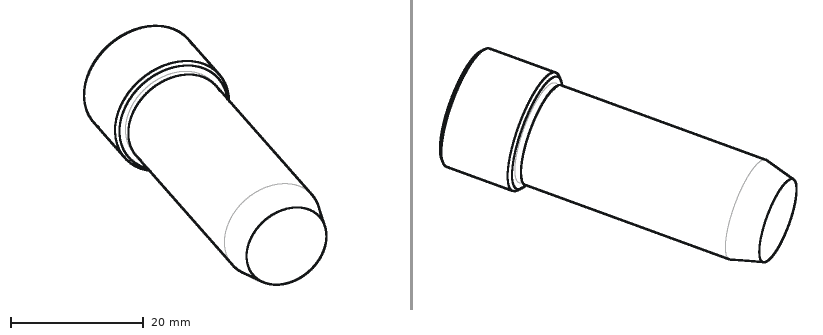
import cadquery as cq
import math

total_length = 52.0
head_length = 12.0
taper_length = 5.0

head_diameter = 19.0
shank_diameter = 16.0
taper_half_angle = 15.0

head_chamfer = 0.5
groove_width = 1.0
groove_depth = groove_width / 2

head_radius = head_diameter / 2
shank_radius = shank_diameter / 2
tip_radius = shank_radius - taper_length * math.tan(math.radians(taper_half_angle))
groove_end = head_length + groove_width
groove_middle = head_length + groove_width / 2
taper_start = total_length - taper_length


def revolved_pin():
    """Headed pin with a rounded undercut below the head and a conical lead-in tip."""
    half_section = (
        cq.Workplane("XZ")
        .lineTo(0, head_radius - head_chamfer)
        .lineTo(head_chamfer, head_radius)
        .lineTo(head_length - head_chamfer, head_radius)
        .lineTo(head_length, head_radius - head_chamfer)
        .lineTo(head_length, shank_radius)
        .threePointArc((groove_middle, shank_radius - groove_depth), (groove_end, shank_radius))
        .lineTo(taper_start, shank_radius)
        .lineTo(total_length, tip_radius)
        .lineTo(total_length, 0)
        .close()
    )
    return half_section.revolve(360, (0, 0, 0), (1, 0, 0))


result = revolved_pin()